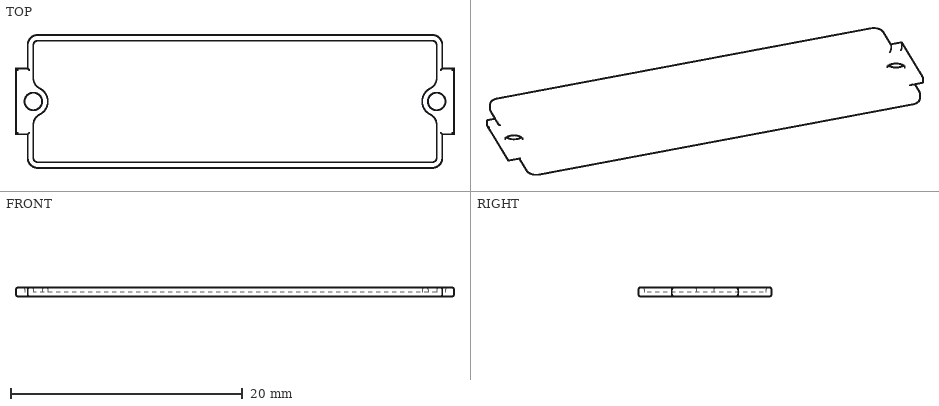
import cadquery as cq
import math

total_length = 37.8
plate_width = 11.5
thickness = 0.8
tab_reach = 1.0
tab_width = 5.7
corner_radius = 0.9

edge_radius = 0.2

hole_diameter = 1.5
hole_inset = 1.5

pocket_depth = 0.4
rim_width = 0.5
boss_radius = 1.25
boss_blend_radius = 1.0

plate_length = total_length - 2 * tab_reach
hole_x = total_length / 2 - hole_inset
pocket_half_length = plate_length / 2 - rim_width
pocket_half_width = plate_width / 2 - rim_width
pocket_corner_radius = corner_radius - rim_width


def make_plate():
    """Rounded plate with a square tab on each end, rounded over above and below."""
    plate = (
        cq.Workplane("XY")
        .rect(plate_length, plate_width)
        .extrude(thickness)
        .edges("|Z")
        .fillet(corner_radius)
    )
    tabs = cq.Workplane("XY").rect(total_length, tab_width).extrude(thickness)
    return plate.union(tabs).faces("<Z or >Z").edges().fillet(edge_radius)


def make_boss():
    """Material left standing in the pocket around the +X hole.

    A disc around the hole, joined to the straight pocket wall by two concave
    arcs that are tangent to both the wall and the disc.
    """
    blend_x = pocket_half_length - boss_blend_radius
    center_distance = boss_radius + boss_blend_radius
    blend_y = math.sqrt(center_distance**2 - (hole_x - blend_x) ** 2)
    disc_share = boss_radius / center_distance
    touch_x = hole_x + (blend_x - hole_x) * disc_share
    touch_y = blend_y * disc_share

    half_angle = math.atan2(blend_y - touch_y, touch_x - blend_x) / 2
    middle_x = blend_x + boss_blend_radius * math.cos(half_angle)
    middle_y = blend_y - boss_blend_radius * math.sin(half_angle)
    outer_x = total_length / 2

    return (
        cq.Workplane("XY")
        .moveTo(outer_x, blend_y)
        .lineTo(pocket_half_length, blend_y)
        .threePointArc((middle_x, middle_y), (touch_x, touch_y))
        .threePointArc((hole_x - boss_radius, 0), (touch_x, -touch_y))
        .threePointArc((middle_x, -middle_y), (pocket_half_length, -blend_y))
        .lineTo(outer_x, -blend_y)
        .close()
        .extrude(thickness)
    )


def make_pocket():
    """Solid to remove for the pocket, running upward from the pocket floor."""
    floor_height = thickness - pocket_depth
    block = (
        cq.Workplane("XY")
        .rect(2 * pocket_half_length, 2 * pocket_half_width)
        .extrude(thickness)
        .edges("|Z")
        .fillet(pocket_corner_radius)
    )
    boss = make_boss()
    block = block.cut(boss).cut(boss.mirror("YZ"))
    return block.translate((0, 0, floor_height))


def round_pocket_rim(part):
    """Round over the upper edge of the pocket wall."""
    top_face = part.faces(">Z")
    rim = top_face.val().innerWires()[0]
    return top_face.newObject(rim.Edges()).fillet(edge_radius)


def make_hole_cutter(x):
    """Through hole at x whose mouths flare out in a round-over on both faces."""
    hole_radius = hole_diameter / 2
    mouth_radius = hole_radius + edge_radius
    arc_offset = edge_radius * (1 - math.sqrt(0.5))
    profile = (
        cq.Workplane("XZ")
        .lineTo(mouth_radius, 0)
        .threePointArc((hole_radius + arc_offset, arc_offset), (hole_radius, edge_radius))
        .lineTo(hole_radius, thickness - edge_radius)
        .threePointArc((hole_radius + arc_offset, thickness - arc_offset), (mouth_radius, thickness))
        .lineTo(0, thickness)
        .close()
    )
    return profile.revolve(360, (0, 0), (0, 1)).translate((x, 0, 0))


result = make_plate().cut(make_pocket())
result = round_pocket_rim(result)
for side in (-1, 1):
    result = result.cut(make_hole_cutter(side * hole_x))